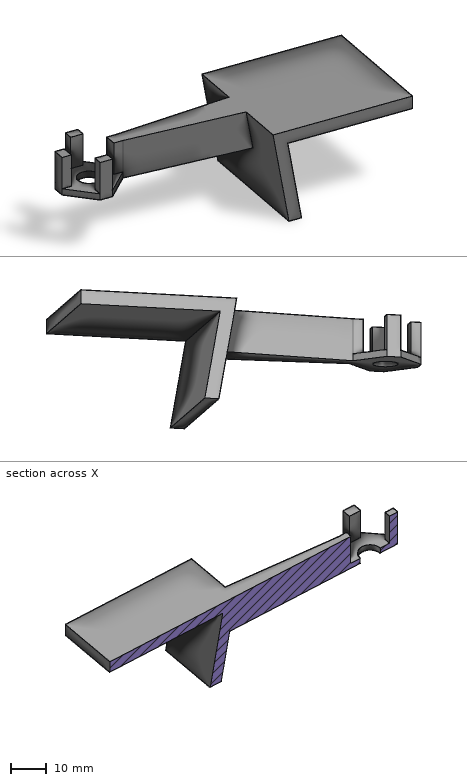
import cadquery as cq
import math

PLATE_WIDTH = 40.0
PLATE_UNDERSIDE_LENGTH = 40.0
WALL_THICKNESS = 4.0
BRACKET_HEIGHT = 29.0
LEG_TILT = math.radians(10.0)

ARM_LENGTH = 40.0
ARM_ROOT_WIDTH = 10.0
ARM_HEIGHT = 12.0

HOLDER_SIZE = 19.54
HOLDER_BASE_THICKNESS = 2.0
HOLE_DIAMETER = 7.0
POST_WIDTH = 4.0
POST_DEPTH = 2.95

TILT_SLOPE = math.tan(LEG_TILT)
LEG_DEPTH = WALL_THICKNESS / math.cos(LEG_TILT)
LEG_INNER_TOP_Y = -PLATE_UNDERSIDE_LENGTH
PLATE_FRONT_Y = LEG_INNER_TOP_Y - WALL_THICKNESS * TILT_SLOPE - LEG_DEPTH
ARM_ROOT_Y = PLATE_FRONT_Y + ARM_HEIGHT * TILT_SLOPE
ARM_TIP_Y = ARM_ROOT_Y - ARM_LENGTH
HOLDER_Y = ARM_TIP_Y - HOLDER_SIZE / 2


def make_bracket():
    """Flat plate and slanted leg, extruded across the full width."""
    leg_inner_bottom_y = LEG_INNER_TOP_Y + (BRACKET_HEIGHT - WALL_THICKNESS) * TILT_SLOPE
    leg_outer_bottom_y = PLATE_FRONT_Y + BRACKET_HEIGHT * TILT_SLOPE
    profile = [
        (0, 0),
        (0, -WALL_THICKNESS),
        (LEG_INNER_TOP_Y, -WALL_THICKNESS),
        (leg_inner_bottom_y, -BRACKET_HEIGHT),
        (leg_outer_bottom_y, -BRACKET_HEIGHT),
        (PLATE_FRONT_Y, 0),
    ]
    return cq.Workplane("YZ").polyline(profile).close().extrude(PLATE_WIDTH / 2, both=True)


def make_arm():
    """Arm that narrows from its root at the leg to the width of a holder post."""
    outline = [
        (-ARM_ROOT_WIDTH / 2, ARM_ROOT_Y),
        (ARM_ROOT_WIDTH / 2, ARM_ROOT_Y),
        (POST_WIDTH / 2, ARM_TIP_Y),
        (-POST_WIDTH / 2, ARM_TIP_Y),
    ]
    return cq.Workplane("XY").polyline(outline).close().extrude(-ARM_HEIGHT)


def make_holder():
    """Octagonal base with a round hole and upright posts on its four short sides."""
    corner_cut = (HOLDER_SIZE - POST_WIDTH) / 2
    base_plane = cq.Workplane("XY", origin=(0, HOLDER_Y, -ARM_HEIGHT))
    holder = (
        base_plane.rect(HOLDER_SIZE, HOLDER_SIZE)
        .extrude(HOLDER_BASE_THICKNESS)
        .edges("|Z")
        .chamfer(corner_cut)
    )
    posts = (
        base_plane.polarArray((HOLDER_SIZE - POST_DEPTH) / 2, 0, 360, 4)
        .rect(POST_DEPTH, POST_WIDTH)
        .extrude(ARM_HEIGHT)
    )
    hole = base_plane.circle(HOLE_DIAMETER / 2).extrude(HOLDER_BASE_THICKNESS)
    return holder.union(posts).cut(hole)


result = make_bracket().union(make_arm()).union(make_holder())